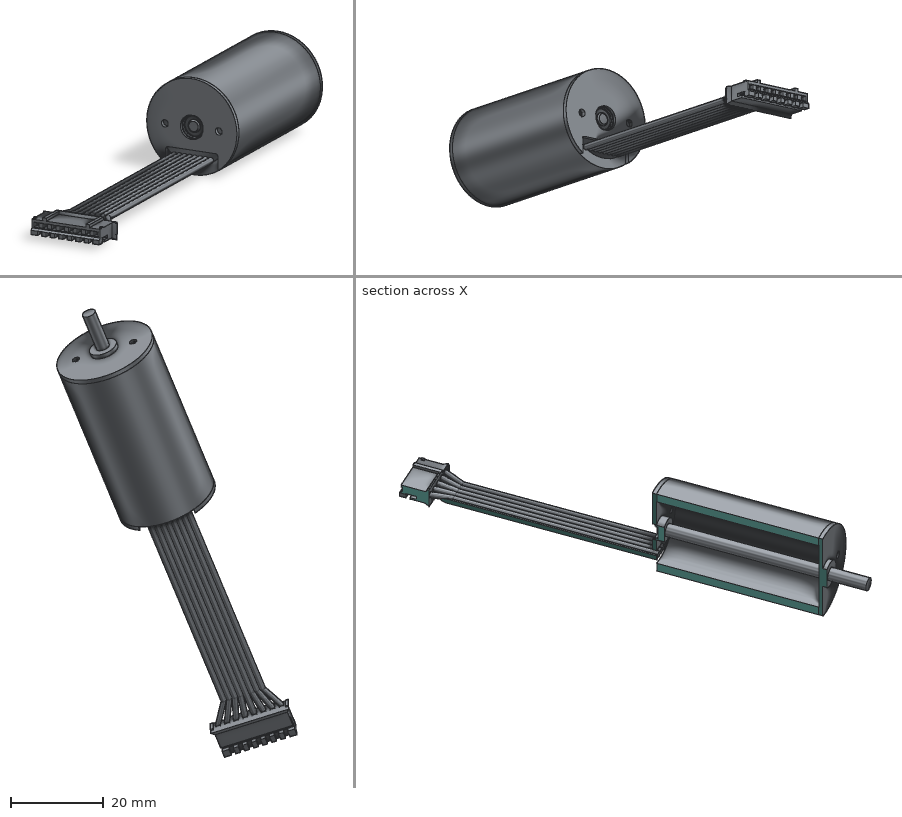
import cadquery as cq


motor_diameter = 22.0
motor_length = 40.0
cap_thickness = 1.0
sleeve_bore = 17.5
screw_hole_diameter = 1.6
screw_hole_offset = 6.6
boss_diameter = 6.2
boss_height = 1.0

shaft_diameter = 3.0
shaft_chamfer = 0.3
shaft_tip_y = 50.0
bearing_diameter = 5.5
bearing_rear_y = 0.7
bearing_mouth_diameter = 4.6
bearing_mouth_chamfer = 0.2
bearing_mouth_depth = 0.7
bearing_length = 2.2
shaft_rear_y = 0.8

exit_half_width = 6.3
exit_top_z = -5.1
exit_corner_radius = 0.5

wire_count = 8
wire_diameter = 1.3
ribbon_width = 10.2
ribbon_pitch = (ribbon_width - wire_diameter) / (wire_count - 1)
plug_pitch = 2.1
plug_centre_x = 0.1
straight_wire = 3
cable_z = -7.1
fan_start_y = -47.1

plug_back_y = -52.4
plug_front_y = -59.0
plug_half_width = 8.3
plug_top_z = -6.0
plug_bottom_z = -9.4
flare = 0.7
flare_length = 1.0
ear_top_z = -6.3
ear_bottom_z = -8.9
ear_thickness = 0.3
rim_height = 0.7
rim_outer_half = 5.7
rim_inner_half = 4.8
rim_back_width = 0.3
rim_slope = 0.4
nub_width = 0.5
nub_length = 0.8
nub_height = 0.2
nub_front_gap = 0.7
cavity_width = 1.1
cavity_height = 1.1
cavity_top_z = -6.7
face_recess_half = 7.7
face_recess_depth = 0.2

lip_reach = 0.4
lip_top_z = -8.0
lip_slope_height = 0.4
latch_slot_top_z = -8.2
tongue_top_z = -8.9
tongue_root_y = -55.5
tongue_tip_y = -56.9
foot_back_y = -57.9
finger_gap = 1.0


def disc(diameter, y_start, y_end, x=0.0, z=0.0):
    """Cylinder parallel to Y between two Y positions."""
    start = cq.Vector(x, y_start, z)
    return cq.Workplane(cq.Solid.makeCylinder(diameter / 2, y_end - y_start, start, cq.Vector(0, 1, 0)))


def block(x_range, y_range, z_range):
    """Box between pairs of limits along X, Y and Z."""
    limits = (x_range, y_range, z_range)
    sizes = [high - low for low, high in limits]
    corner = tuple(low for low, high in limits)
    return cq.Workplane("XY").box(*sizes, centered=False).translate(corner)


def extrude_across(points, half_width):
    """Prism along X with a YZ outline, centred on X = 0."""
    return cq.Workplane("YZ").polyline(points).close().extrude(half_width, both=True)


def drill_screw_holes(cap, y_start, y_end):
    for x in (-screw_hole_offset, screw_hole_offset):
        cap = cap.cut(disc(screw_hole_diameter, y_start, y_end, x))
    return cap


def contact_offset(index):
    """X of a contact from the middle of the plug."""
    return (index - (wire_count - 1) / 2) * plug_pitch


def plug_position(index):
    """X of a wire where it enters the plug."""
    return plug_centre_x + contact_offset(index)


def ribbon_position(index):
    """X of a wire in the ribbon; one wire runs straight on into the plug."""
    return plug_position(straight_wire) + (index - straight_wire) * ribbon_pitch


def make_sleeve():
    y_start = cap_thickness
    y_end = motor_length - cap_thickness
    return disc(motor_diameter, y_start, y_end).cut(disc(sleeve_bore, y_start, y_end))


def make_front_flange():
    inner_y = motor_length - cap_thickness
    boss_y = motor_length + boss_height
    flange = disc(motor_diameter, inner_y, motor_length)
    flange = flange.union(disc(boss_diameter, motor_length, boss_y))
    flange = flange.cut(disc(shaft_diameter, inner_y, boss_y))
    return drill_screw_holes(flange, inner_y, motor_length)


def make_rear_cap():
    cap = disc(motor_diameter, 0, cap_thickness)
    cap = cap.cut(disc(bearing_diameter, 0, cap_thickness))
    cap = drill_screw_holes(cap, 0, cap_thickness)
    cable_exit = block(
        (-exit_half_width, exit_half_width), (0, cap_thickness), (-motor_diameter, exit_top_z)
    )
    return cap.cut(cable_exit.edges("|Y and >Z").fillet(exit_corner_radius))


def make_bearing():
    seat_y = bearing_rear_y + bearing_mouth_depth
    end_y = bearing_rear_y + bearing_length
    bearing = disc(bearing_diameter, bearing_rear_y, end_y)
    bearing = bearing.cut(disc(bearing_mouth_diameter, bearing_rear_y, seat_y))
    mouth_edge = bearing.faces("<Y").edges(cq.selectors.RadiusNthSelector(0))
    bearing = mouth_edge.chamfer(bearing_mouth_chamfer)
    return bearing.cut(disc(shaft_diameter, seat_y, end_y))


def make_shaft():
    return disc(shaft_diameter, shaft_rear_y, shaft_tip_y).faces("<Y").chamfer(shaft_chamfer)


def make_fan_wire(index):
    """Slanted wire from the ribbon to the plug, with a round section square to Y throughout."""
    sideways = plug_position(index) - ribbon_position(index)
    return (
        cq.Workplane("XZ", origin=(ribbon_position(index), fan_start_y, cable_z))
        .circle(wire_diameter / 2)
        .workplane(offset=fan_start_y - plug_back_y)
        .center(sideways, 0)
        .circle(wire_diameter / 2)
        .loft(ruled=True)
    )


def make_cable():
    """Ribbon and fan as one body: neighbouring wires merge along the ribbon."""
    cable = cq.Workplane()
    for index in range(wire_count):
        cable = cable.add(disc(wire_diameter, fan_start_y, cap_thickness, ribbon_position(index), cable_z))
        cable = cable.add(make_fan_wire(index))
    return cable.combine()


def make_plug_shell():
    """Plug block with its sloped latch lip and the flare around its back end."""
    lip_y = plug_front_y - lip_reach
    outline = [
        (plug_back_y, plug_top_z),
        (plug_front_y, plug_top_z),
        (plug_front_y, lip_top_z),
        (lip_y, lip_top_z - lip_slope_height),
        (lip_y, plug_bottom_z),
        (plug_back_y, plug_bottom_z),
    ]
    shell = extrude_across(outline, plug_half_width)
    skirt_height = plug_top_z - plug_bottom_z
    skirt_middle_z = (plug_top_z + plug_bottom_z) / 2
    skirt = (
        cq.Workplane("XZ", origin=(0, plug_back_y, skirt_middle_z))
        .center(0, -flare / 2)
        .rect(2 * (plug_half_width + flare), skirt_height + flare)
        .workplane(offset=flare_length)
        .center(0, flare / 2)
        .rect(2 * plug_half_width, skirt_height)
        .loft(ruled=True)
    )
    return shell.union(skirt)


def add_top_details(plug):
    """Raised rim around the middle of the top, and a nub near each front corner."""
    rim_top_z = plug_top_z + rim_height
    back_bar = [
        (plug_back_y, plug_top_z),
        (plug_back_y, rim_top_z),
        (plug_back_y - rim_back_width, rim_top_z),
        (plug_back_y - rim_back_width - rim_slope, plug_top_z),
    ]
    plug = plug.union(extrude_across(back_bar, rim_outer_half))
    nub_y = plug_front_y + nub_front_gap
    for side in (-1, 1):
        bar_x = sorted((side * rim_inner_half, side * rim_outer_half))
        plug = plug.union(block(bar_x, (plug_front_y, plug_back_y), (plug_top_z, rim_top_z)))
        nub_x = sorted((side * (plug_half_width - nub_width), side * plug_half_width))
        plug = plug.union(block(nub_x, (nub_y, nub_y + nub_length), (plug_top_z, plug_top_z + nub_height)))
    return plug


def add_ears(plug):
    """Thin ear on the back face at each end of the flare."""
    for side in (-1, 1):
        ear_x = sorted((side * plug_half_width, side * (plug_half_width + flare)))
        ear_y = (plug_back_y, plug_back_y + ear_thickness)
        plug = plug.union(block(ear_x, ear_y, (ear_bottom_z, ear_top_z)))
    return plug


def cut_latch(plug):
    """Slot through the full width that frees the tongue, and gaps that split the lip into fingers."""
    slot = [
        (tongue_root_y, latch_slot_top_z),
        (foot_back_y, latch_slot_top_z),
        (foot_back_y, plug_bottom_z),
        (tongue_tip_y, plug_bottom_z),
        (tongue_tip_y, tongue_top_z),
        (tongue_root_y, tongue_top_z),
    ]
    plug = plug.cut(extrude_across(slot, plug_half_width))
    for index in range(wire_count - 1):
        centre = (contact_offset(index) + contact_offset(index + 1)) / 2
        gap_x = (centre - finger_gap / 2, centre + finger_gap / 2)
        gap_y = (plug_front_y - lip_reach, foot_back_y)
        plug = plug.cut(block(gap_x, gap_y, (plug_bottom_z, lip_top_z - lip_slope_height)))
    return plug


def cut_cavities(plug):
    """Shallow recess across the front face, with one passage through the plug for each wire."""
    cavity_z = (cavity_top_z - cavity_height, cavity_top_z)
    recess_y = (plug_front_y, plug_front_y + face_recess_depth)
    plug = plug.cut(block((-face_recess_half, face_recess_half), recess_y, cavity_z))
    for index in range(wire_count):
        centre = contact_offset(index)
        cavity_x = (centre - cavity_width / 2, centre + cavity_width / 2)
        plug = plug.cut(block(cavity_x, (plug_front_y, plug_back_y), cavity_z))
    return plug


def make_plug():
    plug = add_ears(add_top_details(make_plug_shell()))
    return cut_cavities(cut_latch(plug)).translate((plug_centre_x, 0, 0))


sleeve = make_sleeve()
front_flange = make_front_flange()
rear_cap = make_rear_cap()
bearing = make_bearing()
shaft = make_shaft()
cable = make_cable()
plug = make_plug()

bodies = [sleeve, front_flange, rear_cap, bearing, shaft, cable, plug]
result = cq.Compound.makeCompound([body.solids().val() for body in bodies])